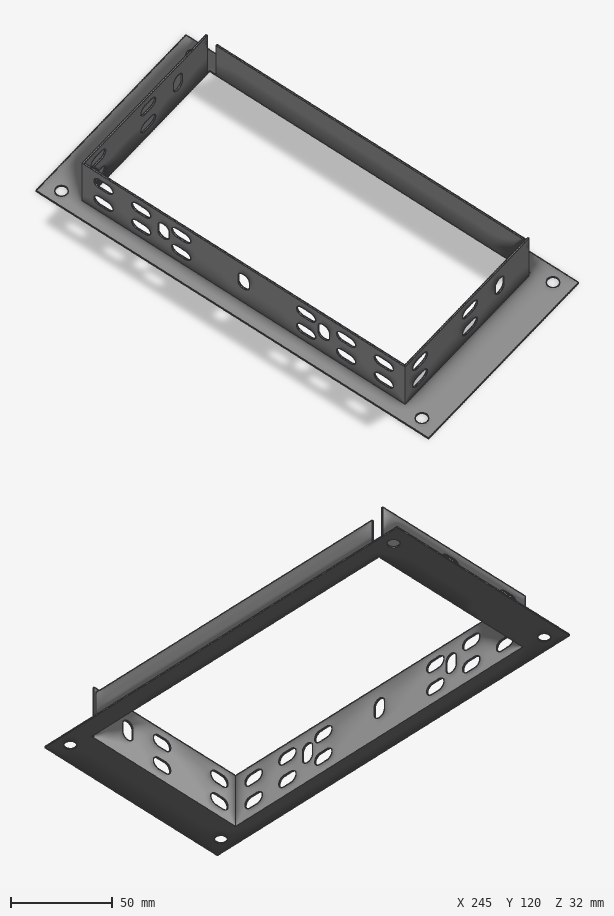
import cadquery as cq

flange_length = 245.0
flange_width = 120.0
sheet = 0.85
overall_height = 32.0
mount_hole_diameter = 6.5
mount_hole_x = 112.5
mount_hole_y = 52.5

frame_length = 201.6
frame_width = 102.0
opening_length = frame_length - 2 * sheet
opening_width = frame_width - 2 * sheet
back_wall_length = 192.0
back_wall_height = 25.0
side_wall_end_y = 48.3

slot_length = 12.0
slot_width = 7.0
upper_row_z = 23.8
lower_row_z = 9.5
upright_slot_z = 18.1
front_slot_x = (39.0, 64.0, 87.5)
front_upright_slot_x = 50.0
side_slot_y = (-39.0, 1.0)
side_upright_slot_y = 24.7


def make_flange():
    """Flat rectangular ring with a mounting hole near each corner."""
    holes = [(x, y) for x in (-mount_hole_x, mount_hole_x) for y in (-mount_hole_y, mount_hole_y)]
    return (
        cq.Workplane("XY")
        .rect(flange_length, flange_width)
        .rect(opening_length, opening_width)
        .pushPoints(holes)
        .circle(mount_hole_diameter / 2)
        .extrude(sheet)
    )


def make_wall(x_min, x_max, y_min, y_max, height):
    """Upright sheet standing on the base plane."""
    wall = cq.Workplane("XY").box(x_max - x_min, y_max - y_min, height, centered=False)
    return wall.translate((x_min, y_min, 0))


def slot_cutter(plane, points, angle, length):
    """Obround cutters, extruded symmetrically about a plane through the origin."""
    return (
        cq.Workplane(plane)
        .pushPoints(points)
        .slot2D(slot_length, slot_width, angle)
        .extrude(length / 2, both=True)
    )


def make_front_wall():
    """Full-height wall with two mirrored groups of slots and a slot in the middle."""
    wall = make_wall(
        -frame_length / 2, frame_length / 2, -frame_width / 2, -opening_width / 2, overall_height
    )
    level = [
        (side * x, z) for side in (-1, 1) for x in front_slot_x for z in (lower_row_z, upper_row_z)
    ]
    upright = [(x, upright_slot_z) for x in (-front_upright_slot_x, 0, front_upright_slot_x)]
    wall = wall.cut(slot_cutter("XZ", level, 0, flange_width))
    return wall.cut(slot_cutter("XZ", upright, 90, flange_width))


def make_side_walls():
    """Left and right walls, stopping short of the back wall, with matching slots."""
    walls = make_wall(
        -frame_length / 2, -opening_length / 2, -frame_width / 2, side_wall_end_y, overall_height
    )
    walls = walls.union(walls.mirror("YZ"))
    level = [(y, z) for y in side_slot_y for z in (lower_row_z, upper_row_z)]
    upright = [(side_upright_slot_y, upright_slot_z)]
    walls = walls.cut(slot_cutter("YZ", level, 0, flange_length))
    return walls.cut(slot_cutter("YZ", upright, 90, flange_length))


def make_back_wall():
    """Lower plain wall with open gaps at both ends."""
    return make_wall(
        -back_wall_length / 2, back_wall_length / 2, opening_width / 2, frame_width / 2, back_wall_height
    )


result = (
    make_flange()
    .union(make_front_wall())
    .union(make_side_walls())
    .union(make_back_wall())
)